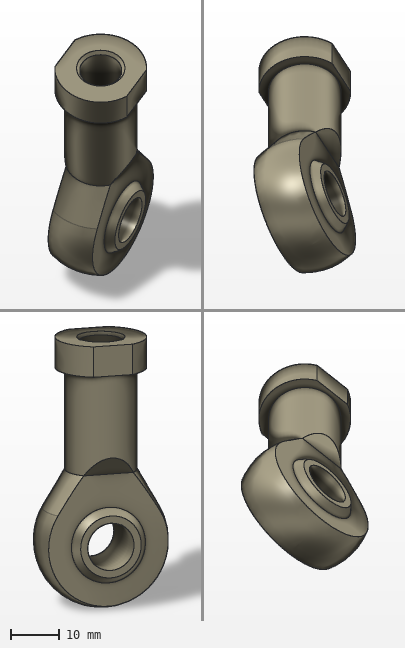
import cadquery as cq
import math

total_height = 57.0
head_radius = 13.95
head_center_z = head_radius

shank_radius = 15.0 / 2
neck_top_z = 29.0
plate_half_width = 5.25
relief_angle = 30.0

collar_radius = 19.0 / 2
collar_height = 6.45
collar_flat_width = 17.0

bore_diameter = 8.65
bore_mouth_diameter = 10.0
bore_depth = 19.95
drill_point_angle = 118.0

ball_radius = 9.6
ball_width = 13.95
ball_hole_diameter = 10.0

cut_margin = 0.55


def revolved_body():
    """Sphere, tangent cone and cylindrical shank in one profile about Z."""
    rise = neck_top_z - head_center_z
    corner_distance = math.hypot(shank_radius, rise)
    tangent_angle = math.atan2(rise, shank_radius) - math.acos(head_radius / corner_distance)
    tangent_point = (
        head_radius * math.cos(tangent_angle),
        head_center_z + head_radius * math.sin(tangent_angle),
    )
    return (
        cq.Workplane("XZ")
        .moveTo(0, 0)
        .threePointArc((head_radius, head_center_z), tangent_point)
        .lineTo(shank_radius, neck_top_z)
        .lineTo(shank_radius, total_height)
        .lineTo(0, total_height)
        .close()
        .revolve(360, (0, 0, 0), (0, 1, 0))
    )


def side_relief(side):
    """Material outside one flat of the eye, with the sloped run-out above it."""
    outer = head_radius + cut_margin
    run_out_height = (outer - plate_half_width) / math.tan(math.radians(relief_angle))
    return (
        cq.Workplane("XZ")
        .polyline([
            (side * plate_half_width, -cut_margin),
            (side * plate_half_width, neck_top_z),
            (side * outer, neck_top_z + run_out_height),
            (side * outer, -cut_margin),
        ])
        .close()
        .extrude(outer, both=True)
    )


def wrench_collar():
    """Round collar with two flats facing -X and +X."""
    base = cq.Workplane("XY").workplane(offset=total_height - collar_height)
    flats = base.rect(collar_flat_width, 2 * collar_radius + cut_margin).extrude(collar_height)
    return base.circle(collar_radius).extrude(collar_height).intersect(flats)


def shank_bore():
    """Blind bore with a 45 degree mouth chamfer and a conical drill point."""
    bore_radius = bore_diameter / 2
    mouth_radius = bore_mouth_diameter / 2
    bore_bottom_z = total_height - bore_depth
    point_depth = bore_radius / math.tan(math.radians(drill_point_angle / 2))
    return (
        cq.Workplane("XZ")
        .polyline([
            (0, total_height),
            (mouth_radius, total_height),
            (bore_radius, total_height - (mouth_radius - bore_radius)),
            (bore_radius, bore_bottom_z),
            (0, bore_bottom_z - point_depth),
        ])
        .close()
        .revolve(360, (0, 0, 0), (0, 1, 0))
    )


def eye_hole():
    """Through hole along the eye axis."""
    length = ball_width + cut_margin
    return (
        cq.Workplane("YZ", origin=(-length / 2, 0, head_center_z))
        .circle(ball_hole_diameter / 2)
        .extrude(length)
    )


def bearing_ball():
    """Sphere with two flat ends, revolved about the eye axis."""
    half_width = ball_width / 2
    end_radius = math.sqrt(ball_radius**2 - half_width**2)
    return (
        cq.Workplane("XZ", origin=(0, 0, head_center_z))
        .moveTo(-half_width, 0)
        .lineTo(-half_width, end_radius)
        .threePointArc((0, ball_radius), (half_width, end_radius))
        .lineTo(half_width, 0)
        .close()
        .revolve(360, (0, 0, 0), (1, 0, 0))
    )


body = revolved_body()
for side in (-1, 1):
    body = body.cut(side_relief(side))

result = (
    body
    .union(wrench_collar())
    .union(bearing_ball())
    .cut(shank_bore())
    .cut(eye_hole())
)